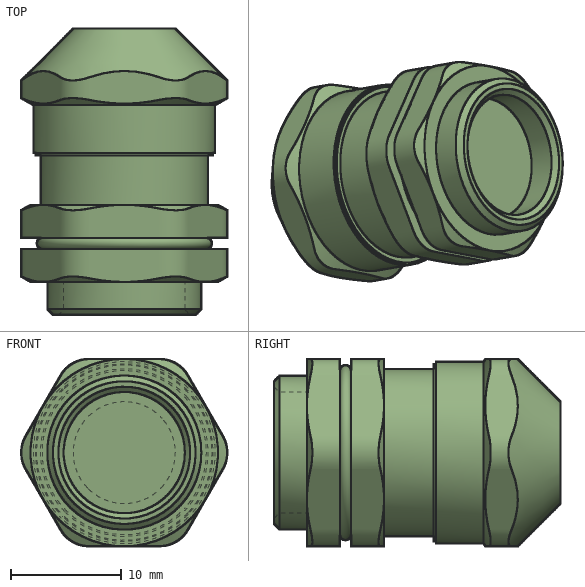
import cadquery as cq
import math

total_length = 26.0
y_front = -total_length / 2
y_back = total_length / 2

across_flats = 17.0
corner_radius = 3.0
hex_thickness = 3.0
flats_turn = 30
bevel_slope = math.tan(math.radians(30))
corner_reach = across_flats / math.sqrt(3)

thread_diameter = 14.0
thread_length = 3.0
thread_chamfer = 0.52
ring_diameter = 15.9
ring_width = 1.01
neck_diameter = 15.2
neck_length = 4.5
lip_diameter = 16.12
lip_length = 0.2
collar_diameter = 16.5
collar_length = 4.35
cap_tip_diameter = 9.25

bore_diameter = 11.0
bore_mouth_diameter = 11.95
bore_depth = thread_length

y_nut = y_front + thread_length
y_ring = y_nut + hex_thickness
y_flange = y_ring + ring_width
y_neck = y_flange + hex_thickness
y_lip = y_neck + neck_length
y_collar = y_lip + lip_length
y_cap = y_collar + collar_length


def cylinder(diameter, y_start, length):
    """Round bar along +Y from y_start."""
    plane = cq.Workplane("XZ", origin=(0, y_start, 0))
    return plane.circle(diameter / 2).extrude(-length)


def hex_prism(y_start, length):
    """Hexagon along +Y with rounded corners and flats facing +Z and -Z."""
    plane = cq.Workplane("XZ", origin=(0, y_start, 0))
    prism = plane.polygon(6, across_flats, circumscribed=True).extrude(-length)
    prism = prism.edges("|Y").fillet(corner_radius)
    return prism.rotate((0, 0, 0), (0, 1, 0), flats_turn)


def revolved(profile):
    """Solid of revolution about Y from (radius, y) points."""
    return cq.Workplane("XY").polyline(profile).close().revolve(360, (0, 0, 0), (0, 1, 0))


def beveled_hex(y_bevel, y_flat):
    """Hexagon whose corners are beveled at the y_bevel end."""
    inward = math.copysign(1, y_flat - y_bevel)
    bevel_start = across_flats / 2
    bevel_depth = (corner_reach - bevel_start) * bevel_slope
    envelope = revolved([
        (0, y_bevel),
        (bevel_start, y_bevel),
        (corner_reach, y_bevel + inward * bevel_depth),
        (corner_reach, y_flat),
        (0, y_flat),
    ])
    return hex_prism(min(y_bevel, y_flat), abs(y_flat - y_bevel)).intersect(envelope)


def cap():
    """Hexagonal cap tapering at 45 degrees to its tip, with a beveled base."""
    base_radius = collar_diameter / 2
    tip_radius = cap_tip_diameter / 2
    envelope = revolved([
        (0, y_cap),
        (base_radius, y_cap),
        (corner_reach, y_cap + (corner_reach - base_radius) * bevel_slope),
        (corner_reach, y_back - (corner_reach - tip_radius)),
        (tip_radius, y_back),
        (0, y_back),
    ])
    return hex_prism(y_cap, y_back - y_cap).intersect(envelope)


def bore():
    """Blind bore with a 45 degree countersunk mouth."""
    bore_radius = bore_diameter / 2
    mouth_radius = bore_mouth_diameter / 2
    return revolved([
        (0, y_front),
        (mouth_radius, y_front),
        (bore_radius, y_front + mouth_radius - bore_radius),
        (bore_radius, y_front + bore_depth),
        (0, y_front + bore_depth),
    ])


def sealing_ring():
    """Ring with a half-round rim."""
    rim_radius = ring_width / 2
    rim_start = ring_diameter / 2 - rim_radius
    section = (
        cq.Workplane("XY")
        .moveTo(0, y_ring)
        .lineTo(rim_start, y_ring)
        .threePointArc((ring_diameter / 2, y_ring + rim_radius), (rim_start, y_flange))
        .lineTo(0, y_flange)
        .close()
    )
    return section.revolve(360, (0, 0, 0), (0, 1, 0))


thread = cylinder(thread_diameter, y_front, thread_length).faces("<Y").chamfer(thread_chamfer)
lock_nut = beveled_hex(y_nut, y_ring)
flange = beveled_hex(y_neck, y_flange)
neck = cylinder(neck_diameter, y_neck, neck_length)
lip = cylinder(lip_diameter, y_lip, lip_length)
collar = cylinder(collar_diameter, y_collar, collar_length)

result = thread
for section in (lock_nut, sealing_ring(), flange, neck, lip, collar, cap()):
    result = result.union(section)
result = result.cut(bore())